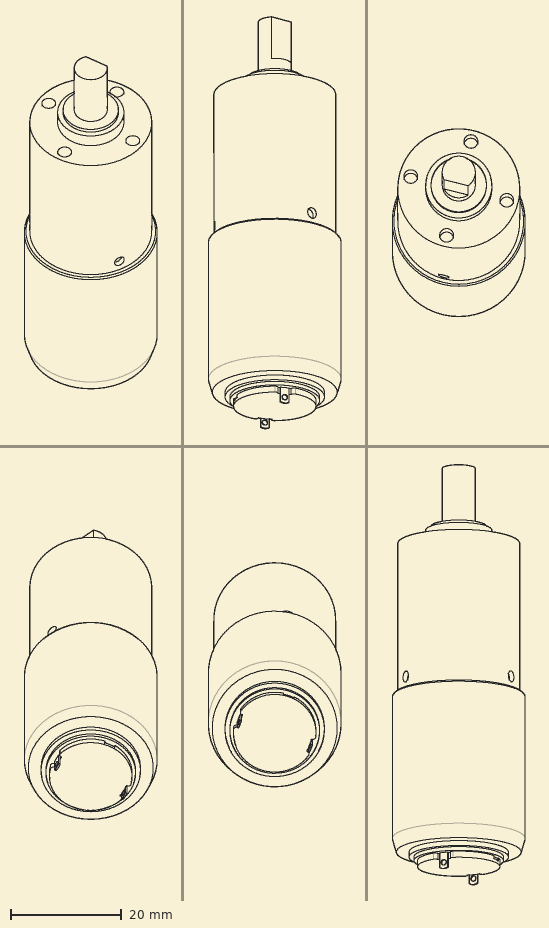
import cadquery as cq
import math

SHAFT_TOP = 75.8
COLLAR_RIM_TOP = 65.0
COLLAR_TOP = 64.35
GEARBOX_TOP = 61.85
MOTOR_TOP = 33.7
TAPER_TOP = 7.05
TAPER_BOTTOM = 4.55
BOSS_BOTTOM = 3.65
STEP_BOTTOM = 2.95
CAP_BOTTOM = 1.8

GEARBOX_DIAMETER = 22.05
COLLAR_DIAMETER = 12.0
COLLAR_RIM_DIAMETER = 10.0
SHAFT_DIAMETER = 6.0
FLAT_LENGTH = 8.0
FLAT_OFFSET = 2.0
GEARBOX_TURN = 22.5

DRILL_TIP_ANGLE = 118.0
MOUNT_HOLE_COUNT = 4
MOUNT_HOLE_DIAMETER = 2.5
MOUNT_CIRCLE_DIAMETER = 17.9
MOUNT_HOLE_DEPTH = 3.0
SIDE_HOLE_COUNT = 3
SIDE_HOLE_DIAMETER = 2.0
SIDE_HOLE_DEPTH = 1.0
SIDE_HOLE_HEIGHT = 2.1
FIRST_SIDE_HOLE_ANGLE = GEARBOX_TURN + 90.0

MOTOR_DIAMETER = 24.0
MOTOR_TOP_CHAMFER = 0.3
TAPER_END_DIAMETER = 22.6
BOSS_DIAMETER = 18.0
STEP_DIAMETER = 16.2
CAP_DIAMETER = 14.9

TERMINAL_WIDTH = 1.6
TERMINAL_THICKNESS = 0.3
TERMINAL_INNER_Y = 6.7
TERMINAL_TIP_RISE = 0.2
TERMINAL_EYE_DIAMETER = 1.0
TERMINAL_EYE_HEIGHT = 1.1
SLOT_WIDTH = 2.5
SLOT_MOUTH_FILLET = 0.5

WINDOW_WIDTH = 2.05
WINDOW_HEIGHT = 0.5
WINDOW_FLOOR_X = 7.1


def cylinder(diameter, bottom, top):
    """Solid cylinder on the motor axis between two levels."""
    return cq.Workplane("XY").workplane(offset=bottom).circle(diameter / 2).extrude(top - bottom)


def drilled_hole(diameter, depth):
    """Cutter that enters at the origin and runs down -Z to a conical drill tip."""
    radius = diameter / 2
    tip_length = radius / math.tan(math.radians(DRILL_TIP_ANGLE / 2))
    return (
        cq.Workplane("XZ")
        .polyline([(0, 0), (radius, 0), (radius, -depth), (0, -depth - tip_length)])
        .close()
        .revolve(360, (0, 0, 0), (0, 1, 0))
    )


def make_shaft():
    """Output shaft with a flat along its upper part."""
    shaft = cylinder(SHAFT_DIAMETER, COLLAR_RIM_TOP, SHAFT_TOP)
    flat_cut = (
        cq.Workplane("XY")
        .box(SHAFT_DIAMETER, SHAFT_DIAMETER, FLAT_LENGTH, centered=(True, False, False))
        .translate((0, FLAT_OFFSET, SHAFT_TOP - FLAT_LENGTH))
        .rotate((0, 0, 0), (0, 0, 1), GEARBOX_TURN)
    )
    return shaft.cut(flat_cut)


def make_gearbox():
    """Gearbox housing, its collar and its shaft, with mounting holes and radial side holes."""
    gearbox = (
        cylinder(GEARBOX_DIAMETER, MOTOR_TOP, GEARBOX_TOP)
        .union(cylinder(COLLAR_DIAMETER, GEARBOX_TOP, COLLAR_TOP))
        .union(cylinder(COLLAR_RIM_DIAMETER, COLLAR_TOP, COLLAR_RIM_TOP))
        .union(make_shaft())
    )
    for index in range(MOUNT_HOLE_COUNT):
        mount_hole = (
            drilled_hole(MOUNT_HOLE_DIAMETER, MOUNT_HOLE_DEPTH)
            .translate((MOUNT_CIRCLE_DIAMETER / 2, 0, GEARBOX_TOP))
            .rotate((0, 0, 0), (0, 0, 1), GEARBOX_TURN + index * 360 / MOUNT_HOLE_COUNT)
        )
        gearbox = gearbox.cut(mount_hole)
    for index in range(SIDE_HOLE_COUNT):
        side_hole = (
            drilled_hole(SIDE_HOLE_DIAMETER, SIDE_HOLE_DEPTH)
            .rotate((0, 0, 0), (0, 1, 0), 90)
            .translate((GEARBOX_DIAMETER / 2, 0, MOTOR_TOP + SIDE_HOLE_HEIGHT))
            .rotate((0, 0, 0), (0, 0, 1), FIRST_SIDE_HOLE_ANGLE + index * 360 / SIDE_HOLE_COUNT)
        )
        gearbox = gearbox.cut(side_hole)
    return gearbox


def make_end_cap():
    """Bottom cap of the motor: a terminal slot on each Y side and a window on each X side."""
    cap_height = STEP_BOTTOM - CAP_BOTTOM
    slot_cut = (
        cq.Workplane("XY")
        .box(SLOT_WIDTH, CAP_DIAMETER, cap_height, centered=(True, False, False))
        .translate((0, TERMINAL_INNER_Y, CAP_BOTTOM))
    )
    window_cut = (
        cq.Workplane("XY")
        .box(CAP_DIAMETER, WINDOW_WIDTH, WINDOW_HEIGHT, centered=(False, True, False))
        .translate((WINDOW_FLOOR_X, 0, STEP_BOTTOM - WINDOW_HEIGHT))
    )
    mouth_y = math.sqrt((CAP_DIAMETER / 2) ** 2 - (SLOT_WIDTH / 2) ** 2)
    cap = cylinder(CAP_DIAMETER, CAP_BOTTOM, STEP_BOTTOM)
    cap = cap.cut(slot_cut).cut(slot_cut.mirror("XZ"))
    for mouth_side in (-mouth_y, mouth_y):
        for slot_side in (-SLOT_WIDTH / 2, SLOT_WIDTH / 2):
            mouth_edge = cq.selectors.NearestToPointSelector(
                (slot_side, mouth_side, CAP_BOTTOM + cap_height / 2)
            )
            cap = cap.edges("|Z").edges(mouth_edge).fillet(SLOT_MOUTH_FILLET)
    return cap.cut(window_cut).cut(window_cut.mirror("YZ"))


def make_motor():
    """Motor can with a tapered lower end, stepped boss and end cap."""
    can_radius = MOTOR_DIAMETER / 2
    profile = [
        (0, MOTOR_TOP),
        (can_radius - MOTOR_TOP_CHAMFER, MOTOR_TOP),
        (can_radius, MOTOR_TOP - MOTOR_TOP_CHAMFER),
        (can_radius, TAPER_TOP),
        (TAPER_END_DIAMETER / 2, TAPER_BOTTOM),
        (BOSS_DIAMETER / 2, TAPER_BOTTOM),
        (BOSS_DIAMETER / 2, BOSS_BOTTOM),
        (STEP_DIAMETER / 2, BOSS_BOTTOM),
        (STEP_DIAMETER / 2, STEP_BOTTOM),
        (0, STEP_BOTTOM),
    ]
    can = cq.Workplane("XZ").polyline(profile).close().revolve(360, (0, 0, 0), (0, 1, 0))
    return can.union(make_end_cap())


def make_terminal():
    """Flat terminal on the +Y side, with a shallow round tip and an eye near it."""
    half_width = TERMINAL_WIDTH / 2
    return (
        cq.Workplane("XZ", origin=(0, TERMINAL_INNER_Y, 0))
        .moveTo(-half_width, STEP_BOTTOM)
        .lineTo(-half_width, TERMINAL_TIP_RISE)
        .threePointArc((0, 0), (half_width, TERMINAL_TIP_RISE))
        .lineTo(half_width, STEP_BOTTOM)
        .close()
        .moveTo(0, TERMINAL_EYE_HEIGHT)
        .circle(TERMINAL_EYE_DIAMETER / 2)
        .extrude(-TERMINAL_THICKNESS)
    )


gearbox = make_gearbox()
motor = make_motor()
terminals = []
for turn in (0, 180):
    terminal = make_terminal().rotate((0, 0, 0), (0, 0, 1), turn)
    terminals.append(terminal.val())

result = cq.Compound.makeCompound([gearbox.val(), motor.val(), *terminals])